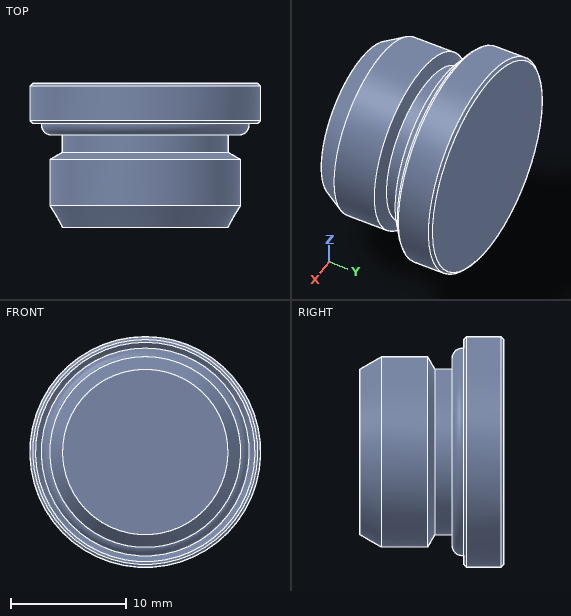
import cadquery as cq
import math

LENGTH = 12.5
TIP_Y = -LENGTH / 2
HEAD_BACK_Y = LENGTH / 2
AXIS_START = (0, 0, 0)
AXIS_END = (1, 0, 0)

HEAD_RADIUS = 10
HEAD_THICKNESS = 3.5
HEAD_CHAMFER = 0.25
HEAD_FRONT_Y = HEAD_BACK_Y - HEAD_THICKNESS

NECK_RADIUS = 7.2
SHANK_RADIUS = 8.25
SHANK_END_Y = TIP_Y + 5.9
NECK_BEVEL_ANGLE = 60
NECK_BEVEL_LENGTH = (SHANK_RADIUS - NECK_RADIUS) / math.tan(math.radians(NECK_BEVEL_ANGLE))
TIP_BEVEL_ANGLE = 30
TIP_BEVEL_DROP = 1.1
TIP_BEVEL_LENGTH = TIP_BEVEL_DROP / math.tan(math.radians(TIP_BEVEL_ANGLE))

RING_OUTER_RADIUS = 9
RING_PROTRUSION = 1
RING_SECTION_RADIUS = (RING_OUTER_RADIUS - NECK_RADIUS) / 2
RING_CENTRE_RADIUS = NECK_RADIUS + RING_SECTION_RADIUS
RING_CENTRE_Y = HEAD_FRONT_Y - RING_PROTRUSION + RING_SECTION_RADIUS

GROOVE_MOUTH_RADIUS = 9.5
GROOVE_FLOOR_Y = RING_CENTRE_Y + RING_SECTION_RADIUS
GROOVE_DEPTH = GROOVE_FLOOR_Y - HEAD_FRONT_Y
GROOVE_FLOOR_RADIUS = GROOVE_MOUTH_RADIUS - GROOVE_DEPTH


def make_plug():
    """Bevelled shank, neck and head with ring groove, turned in one piece."""
    profile = [
        (TIP_Y, 0),
        (TIP_Y, SHANK_RADIUS - TIP_BEVEL_DROP),
        (TIP_Y + TIP_BEVEL_LENGTH, SHANK_RADIUS),
        (SHANK_END_Y, SHANK_RADIUS),
        (SHANK_END_Y + NECK_BEVEL_LENGTH, NECK_RADIUS),
        (GROOVE_FLOOR_Y, NECK_RADIUS),
        (GROOVE_FLOOR_Y, GROOVE_FLOOR_RADIUS),
        (HEAD_FRONT_Y, GROOVE_MOUTH_RADIUS),
        (HEAD_FRONT_Y, HEAD_RADIUS - HEAD_CHAMFER),
        (HEAD_FRONT_Y + HEAD_CHAMFER, HEAD_RADIUS),
        (HEAD_BACK_Y - HEAD_CHAMFER, HEAD_RADIUS),
        (HEAD_BACK_Y, HEAD_RADIUS - HEAD_CHAMFER),
        (HEAD_BACK_Y, 0),
    ]
    return cq.Workplane("YZ").polyline(profile).close().revolve(360, AXIS_START, AXIS_END)


def make_sealing_ring():
    """Round-section ring that sits on the neck and on the groove floor."""
    section = (
        cq.Workplane("YZ")
        .moveTo(RING_CENTRE_Y, RING_CENTRE_RADIUS)
        .circle(RING_SECTION_RADIUS)
    )
    return section.revolve(360, AXIS_START, AXIS_END)


plug = make_plug()
sealing_ring = make_sealing_ring()

result = cq.Compound.makeCompound([plug.val(), sealing_ring.val()])